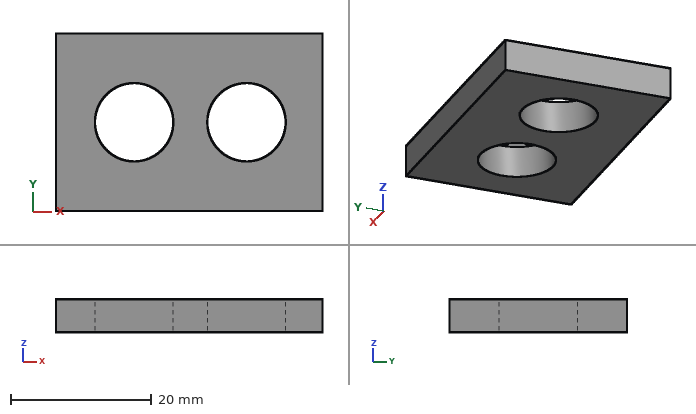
import cadquery as cq

length = 38.1
width = 25.4
thickness = 4.75

hole_diameter = 11.15
hole_spacing = 16.05
pair_offset = 0.15

hole_centers = [(pair_offset + side * hole_spacing / 2, 0) for side in (-1, 1)]

plate = cq.Workplane("XY").box(length, width, thickness)
result = plate.faces(">Z").workplane().pushPoints(hole_centers).hole(hole_diameter)